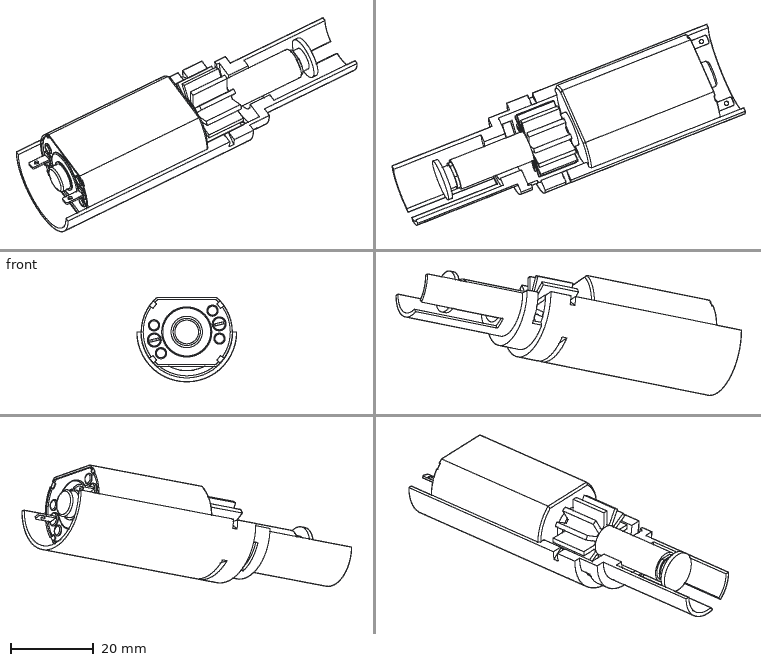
import cadquery as cq
import math

LENGTH = 84.1

HOUSING_DIAMETER = 24.1
MOTOR_BORE_RADIUS = 11.1
MOTOR_BORE_CHAMFER = 0.5
GEAR_BORE_RADIUS = 9.3
SHAFT_BORE_RADIUS = 5.05
FLANGE_RADIUS = 10.25
NOSE_RADIUS = 8.0
NOSE_BORE_RADIUS = 7.0
SHOULDER_Y = 40.4
BODY_END_Y = 52.4
GEAR_BORE_END_Y = 55.7
FLANGE_END_Y = 57.9
NOSE_BORE_START_Y = 61.2

WINDOW_LENGTH = 2.5
LEFT_WINDOW_EDGE_X = -3.95
LEFT_WINDOW_SLOPE_ANGLE = 64
RIGHT_WINDOW_START_ANGLE = 290
RIGHT_WINDOW_END_ANGLE = 337.5

CLIP_SLOT_Y = 45.65
CLIP_SLOT_WIDTH = 1.3
CLIP_SLOT_FLOOR_DISTANCE = 9.25
CLIP_NOTCH_INNER_DEPTH = 0.25
CLIP_NOTCH_OUTER_DEPTH = 2.4

NOSE_SLOT_START_Y = 61.6
NOSE_SLOT_WIDTH = 3.2
NOSE_SLOT_ANGLE = 232
NOSE_SLOT_REACH = 2 * NOSE_RADIUS

MOTOR_RADIUS = 11.0
MOTOR_HALF_HEIGHT = 8.3
MOTOR_REAR_Y = 6.2
MOTOR_CHAMFER = 0.5
FRONT_BOSS_RADIUS = 4.3
FRONT_BOSS_CHAMFER = 0.25
RIM_WIDTH = 0.5
REAR_RECESS = 0.4
LEDGE_DEPTH = 0.25
LEDGE_RADIUS = 9.9
LEDGE_START_ANGLE = 35
LEDGE_END_ANGLE = 43
REAR_DISC_RADIUS = 6.05
COLLAR_RADIUS = 3.8
COLLAR_HEIGHT = 0.25
REAR_CHAMFER = 0.25
BEARING_RADIUS = 3.3
BEARING_REAR_Y = 3.6
BEARING_CHAMFER = 0.4

STUD_CIRCLE_RADIUS = 8.1
TERMINAL_ANGLE = 14
STUD_SPACING_ANGLE = 25.5
STUD_RADIUS = 1.35
TERMINAL_STUD_RADIUS = 1.7
TERMINAL_WIDTH = 2.2
TERMINAL_THICKNESS = 0.5
TERMINAL_REAR_Y = 1.5
TERMINAL_CORNER = 0.4
TERMINAL_HOLE_DIAMETER = 1.0
TERMINAL_HOLE_Y = 3.2

GEAR_START_Y = 42.2
GEAR_END_Y = 51.9
TOOTH_COUNT = 12
GEAR_TIP_RADIUS = 8.1
GEAR_ROOT_RADIUS = 3.95
TOOTH_WIDTH = 1.2

SHAFT_RADIUS = 3.8
SHAFT_SHOULDER_Y = 70.9
FLATS_END_Y = 71.6
FLATS_RADIUS = 3.3
FLATS_WIDTH = 5.9
NECK_RADIUS = 2.8
DISC_START_Y = 73.65
DISC_END_Y = 74.75
DISC_RADIUS = 5.05


def section_plane(y):
    """Plane across the axis at position y, with local x = X and local y = Z; it extrudes toward -Y."""
    return cq.Workplane("XZ", origin=(0, y, 0))


def cylinder(radius, start_y, end_y):
    return section_plane(end_y).circle(radius).extrude(end_y - start_y)


def flatted_cylinder(radius, half_height, start_y, end_y):
    """Cylinder with one flat above and one flat below the axis."""
    flats = section_plane(end_y).rect(2 * radius, 2 * half_height).extrude(end_y - start_y)
    return cylinder(radius, start_y, end_y).intersect(flats)


def on_circle(radius, angle):
    return (radius * math.cos(math.radians(angle)), radius * math.sin(math.radians(angle)))


def ring_sector(inner_radius, outer_radius, start_angle, end_angle, start_y, end_y):
    middle_angle = (start_angle + end_angle) / 2
    return (
        section_plane(end_y)
        .moveTo(*on_circle(inner_radius, start_angle))
        .lineTo(*on_circle(outer_radius, start_angle))
        .threePointArc(on_circle(outer_radius, middle_angle), on_circle(outer_radius, end_angle))
        .lineTo(*on_circle(inner_radius, end_angle))
        .threePointArc(on_circle(inner_radius, middle_angle), on_circle(inner_radius, start_angle))
        .close()
        .extrude(end_y - start_y)
    )


def make_housing():
    radius = HOUSING_DIAMETER / 2
    shell = (
        cylinder(radius, 0, BODY_END_Y)
        .union(cylinder(FLANGE_RADIUS, BODY_END_Y, FLANGE_END_Y))
        .union(cylinder(NOSE_RADIUS, FLANGE_END_Y, LENGTH))
    )
    motor_bore = cylinder(MOTOR_BORE_RADIUS, 0, SHOULDER_Y).faces(">Y").chamfer(MOTOR_BORE_CHAMFER)
    shell = (
        shell.cut(motor_bore)
        .cut(cylinder(GEAR_BORE_RADIUS, SHOULDER_Y, GEAR_BORE_END_Y))
        .cut(cylinder(SHAFT_BORE_RADIUS, GEAR_BORE_END_Y, NOSE_BORE_START_Y))
        .cut(cylinder(NOSE_BORE_RADIUS, NOSE_BORE_START_Y, LENGTH))
    )

    upper_half = cq.Workplane("XY").rect(HOUSING_DIAMETER, 2 * LENGTH).extrude(radius)
    shell = shell.cut(upper_half)

    window_end_y = BODY_END_Y + WINDOW_LENGTH
    slope_run = FLANGE_RADIUS / math.tan(math.radians(LEFT_WINDOW_SLOPE_ANGLE))
    left_window = (
        section_plane(window_end_y)
        .polyline([
            (LEFT_WINDOW_EDGE_X, 0),
            (LEFT_WINDOW_EDGE_X - slope_run, -FLANGE_RADIUS),
            (-radius, -FLANGE_RADIUS),
            (-radius, 0),
        ])
        .close()
        .extrude(WINDOW_LENGTH)
    )
    shell = shell.cut(left_window)

    right_window = ring_sector(
        SHAFT_BORE_RADIUS,
        radius,
        RIGHT_WINDOW_START_ANGLE,
        RIGHT_WINDOW_END_ANGLE,
        BODY_END_Y,
        window_end_y,
    )
    shell = shell.cut(right_window)

    slot_end_y = CLIP_SLOT_Y + CLIP_SLOT_WIDTH
    bottom_slot_height = radius - CLIP_SLOT_FLOOR_DISTANCE
    bottom_slot = (
        section_plane(slot_end_y)
        .center(0, -CLIP_SLOT_FLOOR_DISTANCE - bottom_slot_height / 2)
        .rect(HOUSING_DIAMETER, bottom_slot_height)
        .extrude(CLIP_SLOT_WIDTH)
    )
    shell = shell.cut(bottom_slot)

    for side in (-1, 1):
        notch = (
            section_plane(slot_end_y)
            .polyline([
                (side * GEAR_BORE_RADIUS, 0),
                (side * GEAR_BORE_RADIUS, -CLIP_NOTCH_INNER_DEPTH),
                (side * radius, -CLIP_NOTCH_OUTER_DEPTH),
                (side * radius, 0),
            ])
            .close()
            .extrude(CLIP_SLOT_WIDTH)
        )
        shell = shell.cut(notch)

    nose_slot = (
        section_plane(LENGTH)
        .transformed(rotate=(0, 0, NOSE_SLOT_ANGLE))
        .rect(NOSE_SLOT_REACH, NOSE_SLOT_WIDTH, centered=False)
        .extrude(LENGTH - NOSE_SLOT_START_Y)
    )
    return shell.cut(nose_slot)


def make_terminal(floor_y):
    """Flat tab with a hole, at angle 0 on the stud circle."""
    length = floor_y - TERMINAL_REAR_Y
    return (
        cq.Workplane("XY", origin=(STUD_CIRCLE_RADIUS, TERMINAL_REAR_Y + length / 2, 0))
        .box(TERMINAL_WIDTH, length, TERMINAL_THICKNESS)
        .edges("|Z and <Y")
        .fillet(TERMINAL_CORNER)
        .cut(
            cq.Workplane("XY", origin=(STUD_CIRCLE_RADIUS, TERMINAL_HOLE_Y, -TERMINAL_THICKNESS))
            .circle(TERMINAL_HOLE_DIAMETER / 2)
            .extrude(2 * TERMINAL_THICKNESS)
        )
    )


def turned(shape, angle):
    """Turn a shape about the axis, from +X toward +Z."""
    return shape.rotate((0, 0, 0), (0, -1, 0), angle)


def make_rear_ledges(start_y, end_y):
    """Four ring sectors, one beside each corner of the motor outline."""
    ledges = []
    for side_angle in (0, 180):
        for first, last in (
            (LEDGE_START_ANGLE, LEDGE_END_ANGLE),
            (-LEDGE_END_ANGLE, -LEDGE_START_ANGLE),
        ):
            ledges.append(
                ring_sector(
                    LEDGE_RADIUS, MOTOR_RADIUS, side_angle + first, side_angle + last, start_y, end_y
                )
            )
    return ledges


def make_motor():
    floor_y = MOTOR_REAR_Y + REAR_RECESS
    front_boss = (
        cylinder(FRONT_BOSS_RADIUS, SHOULDER_Y, GEAR_START_Y).faces(">Y").chamfer(FRONT_BOSS_CHAMFER)
    )
    recess = flatted_cylinder(
        MOTOR_RADIUS - RIM_WIDTH, MOTOR_HALF_HEIGHT - RIM_WIDTH, MOTOR_REAR_Y, floor_y
    )
    motor = (
        flatted_cylinder(MOTOR_RADIUS, MOTOR_HALF_HEIGHT, MOTOR_REAR_Y, SHOULDER_Y)
        .faces(">Y")
        .chamfer(MOTOR_CHAMFER)
        .union(front_boss)
    )

    for ledge in make_rear_ledges(MOTOR_REAR_Y, floor_y):
        recess = recess.cut(ledge)
    motor = motor.cut(recess)
    for notch in make_rear_ledges(MOTOR_REAR_Y, MOTOR_REAR_Y + LEDGE_DEPTH):
        motor = motor.cut(notch)

    rear_disc = cylinder(REAR_DISC_RADIUS, MOTOR_REAR_Y, floor_y).faces("<Y").chamfer(REAR_CHAMFER)
    bearing = cylinder(BEARING_RADIUS, BEARING_REAR_Y, floor_y).faces("<Y").chamfer(BEARING_CHAMFER)
    collar = cylinder(COLLAR_RADIUS, MOTOR_REAR_Y - COLLAR_HEIGHT, floor_y)
    motor = motor.union(rear_disc).union(collar).union(bearing)

    for side_angle in (0, 180):
        for offset, radius in (
            (-STUD_SPACING_ANGLE, STUD_RADIUS),
            (0, TERMINAL_STUD_RADIUS),
            (STUD_SPACING_ANGLE, STUD_RADIUS),
        ):
            stud = (
                section_plane(floor_y)
                .center(*on_circle(STUD_CIRCLE_RADIUS, side_angle + TERMINAL_ANGLE + offset))
                .circle(radius)
                .extrude(REAR_RECESS)
                .faces("<Y")
                .chamfer(REAR_CHAMFER)
            )
            motor = motor.union(stud)
        motor = motor.union(turned(make_terminal(floor_y), side_angle + TERMINAL_ANGLE))
    return motor


def turned_point(x, z, angle):
    cosine = math.cos(math.radians(angle))
    sine = math.sin(math.radians(angle))
    return (x * cosine - z * sine, x * sine + z * cosine)


def make_gear():
    """Straight-sided teeth; each gap ends in an arc tangent to both flanks."""
    pitch_angle = 360 / TOOTH_COUNT
    half_pitch = math.radians(pitch_angle / 2)
    half_width = TOOTH_WIDTH / 2

    arc_centre_radius = (GEAR_ROOT_RADIUS - half_width) / (1 - math.sin(half_pitch))
    flank_start = arc_centre_radius * math.cos(half_pitch)

    outline = section_plane(GEAR_END_Y).moveTo(flank_start, -half_width)
    for index in range(TOOTH_COUNT):
        angle = index * pitch_angle
        outline = (
            outline.lineTo(*turned_point(GEAR_TIP_RADIUS, -half_width, angle))
            .lineTo(*turned_point(GEAR_TIP_RADIUS, half_width, angle))
            .lineTo(*turned_point(flank_start, half_width, angle))
            .threePointArc(
                on_circle(GEAR_ROOT_RADIUS, angle + pitch_angle / 2),
                turned_point(flank_start, -half_width, angle + pitch_angle),
            )
        )
    return outline.close().extrude(GEAR_END_Y - GEAR_START_Y)


def make_shaft():
    flatted_step = flatted_cylinder(FLATS_RADIUS, FLATS_WIDTH / 2, SHAFT_SHOULDER_Y, FLATS_END_Y)
    return (
        cylinder(SHAFT_RADIUS, GEAR_END_Y, SHAFT_SHOULDER_Y)
        .union(flatted_step)
        .union(cylinder(NECK_RADIUS, FLATS_END_Y, DISC_START_Y))
        .union(cylinder(DISC_RADIUS, DISC_START_Y, DISC_END_Y))
    )


housing = make_housing()
motor = make_motor()
gear = make_gear()
shaft = make_shaft()
result = cq.Compound.makeCompound([housing.val(), motor.val(), gear.val(), shaft.val()])